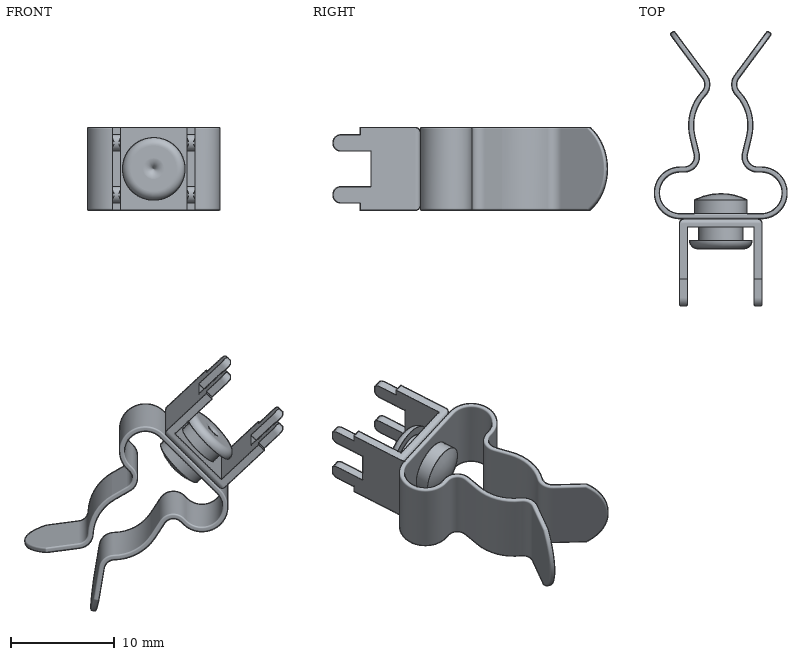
import cadquery as cq
import math


HEIGHT = 8.0

STRIP_THICKNESS = 0.5
HALF_STRIP = STRIP_THICKNESS / 2
STRIP_EDGE_FILLET = 0.15
CLIP_WIDTH = 12.8
LOOP_DEPTH = 5.0
LOOP_RADIUS = (LOOP_DEPTH - STRIP_THICKNESS) / 2
BEND_RADIUS = 1.25
GRIP_RADIUS = 4.52
GRIP_CENTRE_Y = 9.0
GRIP_START_ANGLE = 13.5
NECK_CENTRE_X = 2.55
NECK_CENTRE_Y = 12.95
FLARE_ANGLE = 36.5
FLARE_LENGTH = 5.32
TIP_RADIUS = 4.87
TOUCHING = 0.0003

BRACKET_WIDTH = HEIGHT
SHEET_THICKNESS = 0.8
BRACKET_FILLET = 0.48
LEG_END_Y = -5.8
SLOT_END_Y = -4.75
PRONG_END_Y = -8.41
PRONG_WIDTH = 1.6
PRONG_SPACING = 5.0
PRONG_END_RADIUS = 0.77
PRONG_TIP_FILLET = 0.2

SHANK_RADIUS = 2.15
DOME_HEAD_RADIUS = 2.55
DOME_START_Y = 1.83
DOME_TOP_Y = 2.43
FLAT_HEAD_RADIUS = 3.02
FLAT_HEAD_THICKNESS = 0.82
FLAT_HEAD_FILLET = 0.8
FLAT_HEAD_FRONT_Y = -2.06
DIMPLE_RADIUS = 1.0


def polar(centre, radius, angle):
    """Point at an angle, in degrees from +X, on a circle."""
    turn = math.radians(angle)
    return (centre[0] + radius * math.cos(turn), centre[1] + radius * math.sin(turn))


def strip_bends():
    """Bends of the +X half, from the back outwards, as (centre, radius, start angle, end angle)."""
    loop_centre = (CLIP_WIDTH / 2 - LOOP_DEPTH / 2, LOOP_DEPTH / 2)

    neck_centre = (NECK_CENTRE_X, NECK_CENTRE_Y)
    centre_distance = GRIP_RADIUS + BEND_RADIUS
    meeting_angle = math.degrees(math.asin((NECK_CENTRE_Y - GRIP_CENTRE_Y) / centre_distance))
    grip_centre_x = NECK_CENTRE_X - centre_distance * math.cos(math.radians(meeting_angle))
    grip_centre = (grip_centre_x, GRIP_CENTRE_Y)

    lean = math.radians(GRIP_START_ANGLE)
    shoulder_y = LOOP_DEPTH - HALF_STRIP + BEND_RADIUS
    drop = GRIP_CENTRE_Y - shoulder_y
    shoulder_x = grip_centre_x + (centre_distance - drop * math.sin(lean)) / math.cos(lean)

    return [
        (loop_centre, LOOP_RADIUS, -90, 90),
        ((shoulder_x, shoulder_y), BEND_RADIUS, 270, 180 - GRIP_START_ANGLE),
        (grip_centre, GRIP_RADIUS, -GRIP_START_ANGLE, meeting_angle),
        (neck_centre, BEND_RADIUS, 180 + meeting_angle, 180 - FLARE_ANGLE),
    ]


def flare_end(offset):
    """Free end of the strip, moved sideways from mid-thickness towards the outside of the clip."""
    centre, radius, _, end_angle = strip_bends()[-1]
    start = polar(centre, radius - offset, end_angle)
    return polar(start, FLARE_LENGTH, 90 - FLARE_ANGLE)


def strip_face_arcs(offset):
    """Start, middle and end point of each bend on one face of the strip."""
    arcs = []
    for centre, radius, start, end in strip_bends():
        face_radius = radius + math.copysign(offset, offset * (end - start))
        angles = (start, (start + end) / 2, end)
        arcs.append([polar(centre, face_radius, angle) for angle in angles])
    return arcs


def tip_waste():
    """Material outside the rounded outline of the free end."""
    direction = polar((0, 0), 1, 90 - FLARE_ANGLE)
    plane = cq.Plane(
        origin=(*flare_end(0), 0),
        xDir=(*direction, 0),
        normal=(direction[1], -direction[0], 0),
    )
    rounding_depth = TIP_RADIUS - math.sqrt(TIP_RADIUS**2 - (HEIGHT / 2) ** 2)
    block = cq.Workplane(plane).rect(2 * rounding_depth, 2 * HEIGHT).extrude(STRIP_THICKNESS, both=True)
    disc = cq.Workplane(plane).center(-TIP_RADIUS, 0).circle(TIP_RADIUS).extrude(STRIP_THICKNESS, both=True)
    return block.cut(disc)


def add_arcs(outline, position, arcs):
    """Append the arcs to the outline, with a straight line wherever two do not touch."""
    for start, middle, end in arcs:
        if math.dist(position, start) > TOUCHING:
            outline = outline.lineTo(*start)
        outline = outline.threePointArc(middle, end)
        position = end
    return outline


def half_clip():
    """The +X half of the clip, with square edges."""
    outer_arcs = strip_face_arcs(HALF_STRIP)
    inner_arcs = [arc[::-1] for arc in reversed(strip_face_arcs(-HALF_STRIP))]
    outer_tip = flare_end(HALF_STRIP)
    inner_tip = flare_end(-HALF_STRIP)

    outline = cq.Workplane("XY").workplane(offset=-HEIGHT / 2).moveTo(0, 0)
    outline = add_arcs(outline, (0, 0), outer_arcs)
    outline = outline.lineTo(*outer_tip).lineTo(*inner_tip)
    outline = add_arcs(outline, inner_tip, inner_arcs)
    outline = outline.lineTo(0, STRIP_THICKNESS).close()
    return outline.extrude(HEIGHT).cut(tip_waste())


def rivet_hole():
    """Cylinder along Y that passes through the clip and the bracket."""
    return cq.Workplane("XZ").circle(SHANK_RADIUS).extrude(2 * SHEET_THICKNESS, both=True)


def make_clip():
    """Symmetric clip with rounded strip edges and the rivet hole through its back."""
    half = half_clip()
    clip = half.union(half.mirror("YZ"))
    side_edges = clip.faces("<Z or >Z").edges()
    tip_edges = clip.edges(cq.selectors.RadiusNthSelector(-1))
    clip = side_edges.add(tip_edges).fillet(STRIP_EDGE_FILLET)
    return clip.cut(rivet_hole())


def leg_outline():
    """Side outline of the legs with their round-ended prongs, as a block across the bracket."""
    side = cq.Workplane("YZ")
    block = side.center(LEG_END_Y / 2, 0).rect(-LEG_END_Y, HEIGHT).extrude(BRACKET_WIDTH, both=True)
    gap = PRONG_SPACING - PRONG_WIDTH
    slot = side.center(LEG_END_Y, 0).rect(2 * (SLOT_END_Y - LEG_END_Y), gap).extrude(BRACKET_WIDTH, both=True)
    block = block.cut(slot)
    prong_length = SLOT_END_Y - PRONG_END_Y
    for z in (-PRONG_SPACING / 2, PRONG_SPACING / 2):
        prong = side.center(PRONG_END_Y + prong_length / 2, z).rect(prong_length, PRONG_WIDTH)
        prong = prong.extrude(BRACKET_WIDTH, both=True).faces("<Y").edges("|X").fillet(PRONG_END_RADIUS)
        block = block.union(prong)
    return block


def make_bracket():
    """U-shaped bracket: back plate with rounded edges and two legs that end in prongs."""
    depth = -PRONG_END_Y
    outside = cq.Workplane("XY").box(BRACKET_WIDTH, depth, HEIGHT).translate((0, -depth / 2, 0))
    outside = outside.faces(">Y").edges().fillet(BRACKET_FILLET)
    inner_width = BRACKET_WIDTH - 2 * SHEET_THICKNESS
    channel = cq.Workplane("XY").box(inner_width, depth, HEIGHT)
    channel = channel.translate((0, -depth / 2 - SHEET_THICKNESS, 0))
    bracket = outside.cut(channel).faces("<Y").edges("|Z").fillet(PRONG_TIP_FILLET)
    return bracket.intersect(leg_outline()).cut(rivet_hole())


def make_rivet():
    """Rivet along Y: flat rounded head with a flared dimple, shank, and domed head."""
    dome_rise = DOME_TOP_Y - DOME_START_Y
    dome_radius = (DOME_HEAD_RADIUS**2 + dome_rise**2) / (2 * dome_rise)
    dome_middle_x = DOME_HEAD_RADIUS / 2
    dome_middle_y = DOME_TOP_Y - dome_radius + math.sqrt(dome_radius**2 - dome_middle_x**2)
    flat_face_y = FLAT_HEAD_FRONT_Y - FLAT_HEAD_THICKNESS
    dimple_centre = (DIMPLE_RADIUS, flat_face_y + DIMPLE_RADIUS)
    rounding_centre = (FLAT_HEAD_RADIUS - FLAT_HEAD_FILLET, flat_face_y + FLAT_HEAD_FILLET)
    rounding_end = polar(rounding_centre, FLAT_HEAD_FILLET, 0)
    return (
        cq.Workplane("XY")
        .moveTo(0, dimple_centre[1])
        .threePointArc(polar(dimple_centre, DIMPLE_RADIUS, 225), (DIMPLE_RADIUS, flat_face_y))
        .lineTo(rounding_centre[0], flat_face_y)
        .threePointArc(polar(rounding_centre, FLAT_HEAD_FILLET, -45), rounding_end)
        .lineTo(FLAT_HEAD_RADIUS, FLAT_HEAD_FRONT_Y)
        .lineTo(SHANK_RADIUS, FLAT_HEAD_FRONT_Y)
        .lineTo(SHANK_RADIUS, STRIP_THICKNESS)
        .lineTo(DOME_HEAD_RADIUS, STRIP_THICKNESS)
        .lineTo(DOME_HEAD_RADIUS, DOME_START_Y)
        .threePointArc((dome_middle_x, dome_middle_y), (0, DOME_TOP_Y))
        .close()
        .revolve(360, (0, 0), (0, 1))
    )


clip = make_clip()
bracket = make_bracket()
rivet = make_rivet()
result = cq.Compound.makeCompound([body.solids().val() for body in (clip, bracket, rivet)])